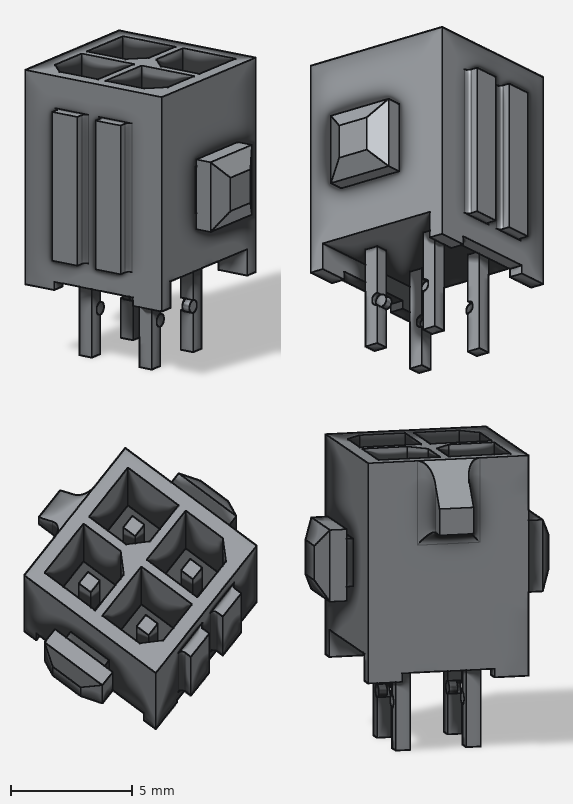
import cadquery as cq

OVERALL_HEIGHT = 12.42
LEG_BOTTOM = 3.18
NOTCH_TOP = 3.54
CHANNEL_TOP = 4.32

HOUSING_WIDTH = 6.84
HOUSING_DEPTH = HOUSING_WIDTH
HALF_WIDTH = HOUSING_WIDTH / 2
FRONT_Y = -HOUSING_DEPTH / 2
BACK_Y = HOUSING_DEPTH / 2
LEG_THICKNESS = 0.63
NOTCH_WIDTH = 3.95

PITCH = 3.0
CAVITY_SIZE = 2.63
CAVITY_CHAMFER = 0.7
CAVITY_DEPTH = 6.21
CAVITY_FLOOR = OVERALL_HEIGHT - CAVITY_DEPTH

STUD_Z = 7.82
NECK_SIZE = 2.0
NECK_LENGTH = 0.41
HEAD_SIZE = 3.0
HEAD_LENGTH = 0.71
TIP_SIZE = 1.44
STUD_SPAN = 10.0
TIP_LENGTH = STUD_SPAN / 2 - HALF_WIDTH - NECK_LENGTH - HEAD_LENGTH

RIB_X = 1.08
RIB_WIDTH = 1.25
RIB_HEIGHT = 0.51
RIB_FLARE = 0.2
RIB_BOTTOM = 4.62
RIB_TOP = 11.03

LATCH_WIDTH = 1.45
LATCH_REACH = 1.32
LATCH_BOTTOM = 9.5
LATCH_NOSE_TOP = 10.61
LATCH_FILLET = 0.61
ROOT_MARGIN = 0.12

PIN_SIZE = 0.62
PIN_TOP = 9.94
ROD_RADIUS = 0.27
ROD_Z = 1.97
ROD_INSET = 0.26
ROD_LENGTH = PIN_SIZE - ROD_INSET

GRID = [(column, row) for column in (-1, 1) for row in (-1, 1)]


def block(x_size, y_size, bottom, top, x=0.0, y=0.0):
    """A box centred on (x, y) in plan, between two heights."""
    return cq.Workplane("XY", origin=(x, y, bottom)).rect(x_size, y_size).extrude(top - bottom)


def contact_position(column, row):
    return column * PITCH / 2, row * PITCH / 2


def housing_shell():
    """Block with a channel under it that leaves a leg wall, notched at mid-width, front and back."""
    shell = block(HOUSING_WIDTH, HOUSING_DEPTH, LEG_BOTTOM, OVERALL_HEIGHT)
    channel = block(HOUSING_WIDTH, HOUSING_DEPTH - 2 * LEG_THICKNESS, LEG_BOTTOM, CHANNEL_TOP)
    notch = block(NOTCH_WIDTH, HOUSING_DEPTH, LEG_BOTTOM, NOTCH_TOP)
    return shell.cut(channel).cut(notch)


def cavity(column, row):
    """Square pocket with a keying chamfer on one of its two -Y corners."""
    x, y = contact_position(column, row)
    corner = ">X" if column * row < 0 else "<X"
    pocket = block(CAVITY_SIZE, CAVITY_SIZE, CAVITY_FLOOR, OVERALL_HEIGHT, x, y)
    return pocket.edges("|Z").edges("<Y").edges(corner).chamfer(CAVITY_CHAMFER)


def stud(side):
    """Stud on the -X (side = -1) or +X (side = 1) face."""
    def square(distance, size):
        plane = cq.Plane(origin=(side * distance, 0, STUD_Z), xDir=(0, 1, 0), normal=(side, 0, 0))
        return cq.Workplane(plane).rect(size, size)

    head_start = HALF_WIDTH + NECK_LENGTH
    head_end = head_start + HEAD_LENGTH
    neck = square(HALF_WIDTH, NECK_SIZE).extrude(NECK_LENGTH)
    head = square(head_start, HEAD_SIZE).extrude(HEAD_LENGTH)
    tip = square(head_end, HEAD_SIZE).workplane(offset=TIP_LENGTH).rect(TIP_SIZE, TIP_SIZE).loft(ruled=True)
    return neck.union(head).union(tip)


def rib(side):
    """Upright rib whose base flares into the front face with a fillet on each side."""
    x = side * RIB_X
    half = RIB_WIDTH / 2
    outer = FRONT_Y - RIB_HEIGHT
    flare_y = FRONT_Y - RIB_FLARE
    return (
        cq.Workplane("XY", origin=(x, 0, RIB_BOTTOM))
        .moveTo(-half - RIB_FLARE, FRONT_Y)
        .radiusArc((-half, flare_y), RIB_FLARE)
        .lineTo(-half, outer)
        .lineTo(half, outer)
        .lineTo(half, flare_y)
        .radiusArc((half + RIB_FLARE, FRONT_Y), RIB_FLARE)
        .close()
        .extrude(RIB_TOP - RIB_BOTTOM)
    )


def add_latch(body):
    """Latch block filleted into the back face, its top then cut to a ramp up to the rim."""
    nose_y = BACK_Y + LATCH_REACH
    latch = block(LATCH_WIDTH, LATCH_REACH, LATCH_BOTTOM, OVERALL_HEIGHT, 0, BACK_Y + LATCH_REACH / 2)
    root = cq.selectors.BoxSelector(
        (-LATCH_WIDTH, BACK_Y - ROOT_MARGIN, LATCH_BOTTOM - ROOT_MARGIN),
        (LATCH_WIDTH, BACK_Y + ROOT_MARGIN, OVERALL_HEIGHT - ROOT_MARGIN),
    )
    body = body.union(latch).edges(root).fillet(LATCH_FILLET)
    above_ramp = (
        cq.Workplane("YZ", origin=(-HALF_WIDTH, 0, 0))
        .polyline([(BACK_Y, OVERALL_HEIGHT), (nose_y, OVERALL_HEIGHT), (nose_y, LATCH_NOSE_TOP)])
        .close()
        .extrude(HOUSING_WIDTH)
    )
    return body.cut(above_ramp)


def cross_rod(column, row, inset, length):
    """Cylinder along X, centred on a pin's inner face and starting inset from its -X side."""
    x, y = contact_position(column, row)
    start = (x - PIN_SIZE / 2 + inset, y - row * PIN_SIZE / 2, ROD_Z)
    return cq.Workplane("YZ", origin=start).circle(ROD_RADIUS).extrude(length)


def make_pin(column, row):
    """Square pin with a half-round groove across its inner face."""
    x, y = contact_position(column, row)
    pin = block(PIN_SIZE, PIN_SIZE, 0, PIN_TOP, x, y)
    return pin.cut(cross_rod(column, row, 0, PIN_SIZE))


def make_rod(column, row):
    """Retaining rod in the groove, short of the pin's -X side."""
    return cross_rod(column, row, ROD_INSET, ROD_LENGTH)


def make_housing():
    housing = add_latch(housing_shell())
    for side in (-1, 1):
        housing = housing.union(stud(side)).union(rib(side))
    for column, row in GRID:
        x, y = contact_position(column, row)
        pin_hole = block(PIN_SIZE, PIN_SIZE, CHANNEL_TOP, CAVITY_FLOOR, x, y)
        housing = housing.cut(cavity(column, row)).cut(pin_hole)
    return housing


housing = make_housing()
pins = [make_pin(column, row).val() for column, row in GRID]
rods = [make_rod(column, row).val() for column, row in GRID]
result = cq.Compound.makeCompound([housing.val(), *pins, *rods])